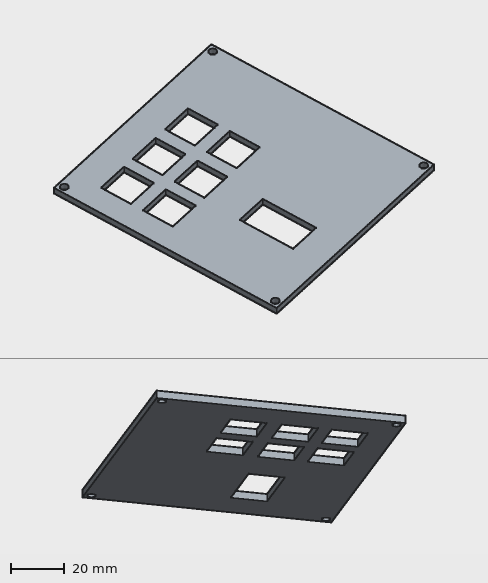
import cadquery as cq

PLATE_LENGTH = 104.5
PLATE_WIDTH = 96.0
PLATE_THICKNESS = 3.0

MOUNT_HOLE_DIAMETER = 3.2
MOUNT_HOLE_INSET = 2.75

KEY_OPENING_SIZE = 14.0
KEY_COLUMN_CENTRES = (-31.4, -11.75)
KEY_ROW_CENTRES = (8.75, -11.0, -30.25)

DISPLAY_LENGTH = 25.0
DISPLAY_WIDTH = 14.0
DISPLAY_CENTRE = (25.4, -12.3)


def make_plate():
    """Flat rectangular blank."""
    return cq.Workplane("XY").box(
        PLATE_LENGTH, PLATE_WIDTH, PLATE_THICKNESS, centered=(True, True, False)
    )


def cut_mount_holes(plate):
    """One through hole near each corner, at the same inset from both edges."""
    spacing_x = PLATE_LENGTH - 2 * MOUNT_HOLE_INSET
    spacing_y = PLATE_WIDTH - 2 * MOUNT_HOLE_INSET
    return (
        plate.faces(">Z")
        .workplane(origin=(0, 0, PLATE_THICKNESS))
        .rect(spacing_x, spacing_y, forConstruction=True)
        .vertices()
        .hole(MOUNT_HOLE_DIAMETER)
    )


def cut_openings(plate, centres, length, width):
    """Rectangular through openings of one size at the given centres."""
    cutters = cq.Workplane("XY").pushPoints(centres).rect(length, width).extrude(PLATE_THICKNESS)
    return plate.cut(cutters)


key_centres = [(x, y) for x in KEY_COLUMN_CENTRES for y in KEY_ROW_CENTRES]

result = make_plate()
result = cut_mount_holes(result)
result = cut_openings(result, key_centres, KEY_OPENING_SIZE, KEY_OPENING_SIZE)
result = cut_openings(result, [DISPLAY_CENTRE], DISPLAY_LENGTH, DISPLAY_WIDTH)